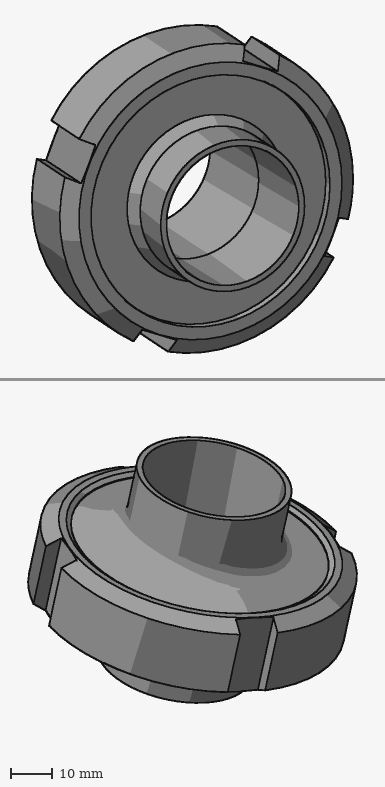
import cadquery as cq
import math


total_length = 52.0
tube_radius = 38.1 / 2
bore_radius = 35.1 / 2

nut_start = 17.9
nut_width = 21.1
nut_end = nut_start + nut_width
nut_radius = 38.9
rim_chamfer_length = 2.3
rim_chamfer_depth = rim_chamfer_length * math.tan(math.radians(60))
nut_bore_radius = 31.7
mouth_chamfer_width = 1.3
mouth_chamfer_depth = 0.8

slot_count = 4
slot_width = 10.0
slot_floor_radius = 34.95
first_slot_angle = -22.5

fillet_start = 12.5
fillet_radius = 5.0
cone_slope = math.radians(10)
fillet_turn = math.pi / 2 - cone_slope
joint_x = (nut_start + nut_end) / 2

hub_radius = 42 / 2
hub_cone_end = 39.9
hub_cone_angle = math.radians(30)
hub_face_x = hub_cone_end - (hub_radius - tube_radius) / math.tan(hub_cone_angle)


def revolve_about_x(profile):
    """Revolve a closed (x, radius) profile about the X axis."""
    return profile.close().revolve(360, (0, 0, 0), (1, 0, 0))


def fillet_point(turn):
    """Point on the liner fillet after turning through the given angle from the tube."""
    x = fillet_start + fillet_radius * math.sin(turn)
    radius = tube_radius + fillet_radius * (1 - math.cos(turn))
    return x, radius


def make_liner():
    fillet_end_x, fillet_end_radius = fillet_point(fillet_turn)
    cone_end_x = fillet_end_x + (nut_bore_radius - fillet_end_radius) * math.tan(cone_slope)
    profile = (
        cq.Workplane("XY")
        .moveTo(0, bore_radius)
        .lineTo(0, tube_radius)
        .lineTo(fillet_start, tube_radius)
        .threePointArc(fillet_point(fillet_turn / 2), (fillet_end_x, fillet_end_radius))
        .lineTo(cone_end_x, nut_bore_radius)
        .lineTo(joint_x, nut_bore_radius)
        .lineTo(joint_x, bore_radius)
    )
    return revolve_about_x(profile)


def make_threaded_end():
    profile = (
        cq.Workplane("XY")
        .moveTo(joint_x, bore_radius)
        .lineTo(joint_x, nut_bore_radius)
        .lineTo(hub_face_x, nut_bore_radius)
        .lineTo(hub_face_x, hub_radius)
        .lineTo(hub_cone_end, tube_radius)
        .lineTo(total_length, tube_radius)
        .lineTo(total_length, bore_radius)
    )
    return revolve_about_x(profile)


def make_nut_slot(angle):
    """Cutter for one flat-floored slot, turned about the nut axis."""
    slot_height = nut_radius
    return (
        cq.Workplane("XY")
        .box(nut_width, slot_width, slot_height, centered=(False, True, False))
        .translate((nut_start, 0, slot_floor_radius))
        .rotate((0, 0, 0), (1, 0, 0), angle)
    )


def make_nut():
    face_radius = nut_radius - rim_chamfer_depth
    profile = (
        cq.Workplane("XY")
        .moveTo(nut_start + mouth_chamfer_depth, nut_bore_radius)
        .lineTo(nut_start, nut_bore_radius + mouth_chamfer_width)
        .lineTo(nut_start, face_radius)
        .lineTo(nut_start + rim_chamfer_length, nut_radius)
        .lineTo(nut_end - rim_chamfer_length, nut_radius)
        .lineTo(nut_end, face_radius)
        .lineTo(nut_end, nut_bore_radius)
    )
    nut = revolve_about_x(profile)
    for index in range(slot_count):
        nut = nut.cut(make_nut_slot(first_slot_angle + index * 360 / slot_count))
    return nut


liner = make_liner()
threaded_end = make_threaded_end()
slotted_nut = make_nut()

result = cq.Compound.makeCompound([liner.val(), threaded_end.val(), slotted_nut.solids().val()])